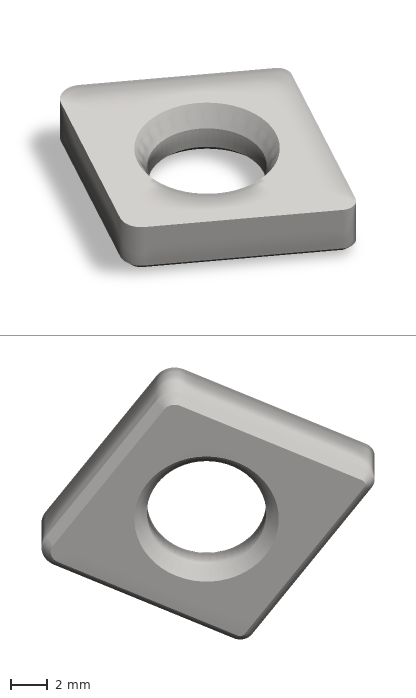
import cadquery as cq
import math

width = 14.75
depth = 12.7
thickness = 3.19

acute_angle = 80.0
front_corner_radius = 1.2
back_corner_radius = 0.8
bottom_chamfer = 0.5

hole_radius = 3.25
flare_radius = 3.95
flare_half_angle = 30.0
bottom_hole_chamfer = 0.68


def corner_overhang(radius):
    """Distance a sharp acute corner reaches beyond its rounded corner in X."""
    return radius / math.tan(math.radians(acute_angle / 2)) - radius


def make_plate():
    slant = depth / math.tan(math.radians(acute_angle))
    front_left = -width / 2 - corner_overhang(front_corner_radius)
    back_right = width / 2 + corner_overhang(back_corner_radius)
    outline = [
        (front_left, -depth / 2),
        (back_right - slant, -depth / 2),
        (back_right, depth / 2),
        (front_left + slant, depth / 2),
    ]
    plate = cq.Workplane("XY").polyline(outline).close().extrude(thickness)
    plate = plate.edges("|Z and <Y").fillet(front_corner_radius)
    plate = plate.edges("|Z and >Y").fillet(back_corner_radius)
    return plate.faces("<Z").edges().chamfer(bottom_chamfer)


def make_hole():
    flare_depth = (flare_radius - hole_radius) / math.tan(math.radians(flare_half_angle))
    half_profile = [
        (0, 0),
        (hole_radius + bottom_hole_chamfer, 0),
        (hole_radius, bottom_hole_chamfer),
        (hole_radius, thickness - flare_depth),
        (flare_radius, thickness),
        (0, thickness),
    ]
    return cq.Workplane("XZ").polyline(half_profile).close().revolve(360, (0, 0), (0, 1))


result = make_plate().cut(make_hole())